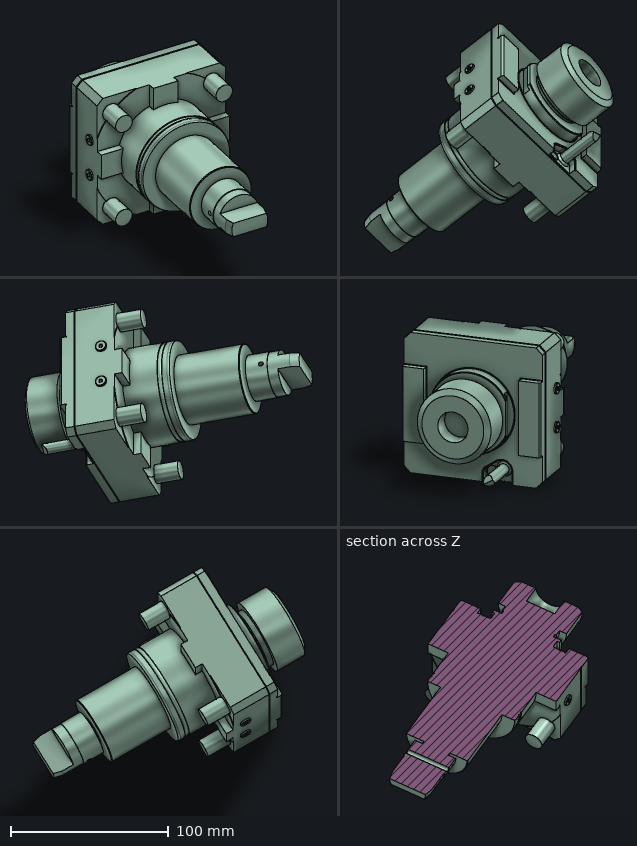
import cadquery as cq
import math


housing_side = 94.0
housing_front = -32.9
housing_corner_chamfer = 4.3
cover_joint_x = -26.9
cover_joint_groove = 0.4
seat_disc_radius = 50.5
seat_disc_height = 0.5

nut_front = -68.65
nut_radius = 25.0
nut_rear = -45.9
nut_chamfer_length = 2.4
nut_chamfer_height = 4.0
bore_radius = 10.2
bore_depth = 12.0
neck_radius = 20.0
neck_step_x = -42.1
neck_groove_radius = 19.0

collar_front = -40.1
collar_radius = 27.7
collar_chamfer = 0.5
collar_rim_thickness = 2.4
collar_rim_half_width = 24.8
collar_half_width = 23.0
collar_gap_radius = 28.4
collar_gap_depth = 0.5

flange_radius = 32.25
flange_length = 31.5
flange_chamfer_length = 1.5
flange_chamfer_height = 0.4
seal_start = 23.4
seal_width = 3.0
seal_depth = 0.6
shank_radius = 22.6
shank_end = 75.0
shank_chamfer = 0.5
drive_neck_radius = 9.6
drive_start = 76.6
drive_radius = 15.0
drive_step_x = 91.1
drive_end_radius = 14.6
tang_start = 97.9
tang_taper_start = 106.0
tang_end_radius = 13.2
tang_thickness = 10.3
overall_length = 180.66
tang_end = nut_front + overall_length
cross_hole_x = 87.0
cross_hole_diameter = 3.0

rear_key_width = 18.0
rear_key_height = 5.0

side_key_inner_y = 32.2
side_key_height = 3.8
side_key_length = 50.0
side_key_gap = 0.5
side_key_chamfer_x = 1.4
side_key_chamfer_y = 1.0

screw_radius = 6.1
screw_y = 36.7
screw_z = 35.0
screw_length = 15.9

button_x = -8.9
button_z = 13.0
button_radius = 3.6
button_height = 1.3
button_edge_chamfer = 0.3
button_hole_diameter = 2.4
button_hole_depth = 1.0

pin_y = -19.35
pin_z = -38.0
pin_radius = 3.6
pin_front = -57.2
pin_edge_angle = 30.0
pin_root_radius = 5.1
pocket_depth = 5.0
pocket_pin_radius = 6.6
pocket_plug_radius = 4.6
pocket_rim_step = 0.8
plug_y = -11.4
plug_z = -41.0
plug_radius = 3.9
plug_recess_depth = 0.5

half_side = housing_side / 2


def x_cylinder(radius, x_start, x_end, y=0.0, z=0.0):
    """Cylinder parallel to X between two X positions."""
    disc = cq.Workplane("YZ", origin=(x_start, y, z)).circle(radius)
    return disc.extrude(x_end - x_start)


def box_between(x_range, y_range, z_range):
    """Axis-aligned box from its three coordinate ranges."""
    size = [end - start for start, end in (x_range, y_range, z_range)]
    corner = (x_range[0], y_range[0], z_range[0])
    return cq.Workplane("XY").box(*size, centered=False).translate(corner)


def square_block(side, x_start, x_end):
    """Square prism along X with chamfered long edges."""
    square = cq.Workplane("YZ", origin=(x_start, 0, 0)).rect(side, side)
    return square.extrude(x_end - x_start).edges("|X").chamfer(housing_corner_chamfer)


def make_housing():
    block = square_block(housing_side, housing_front, 0)
    seat_relief = square_block(housing_side, -seat_disc_height, 0).cut(
        x_cylinder(seat_disc_radius, -seat_disc_height, 0)
    )
    groove_start = cover_joint_x - cover_joint_groove / 2
    groove_end = cover_joint_x + cover_joint_groove / 2
    joint_groove = square_block(housing_side, groove_start, groove_end).cut(
        square_block(housing_side - 2 * cover_joint_groove, groove_start, groove_end)
    )
    gap_floor = housing_front + collar_gap_depth
    collar_gap = x_cylinder(collar_gap_radius, housing_front, gap_floor).cut(
        x_cylinder(collar_radius, housing_front, gap_floor)
    )
    return block.cut(seat_relief).cut(joint_groove).cut(collar_gap)


def make_nut_and_neck():
    profile = (
        cq.Workplane("XY")
        .moveTo(nut_front, 0)
        .lineTo(nut_front, nut_radius - nut_chamfer_height)
        .lineTo(nut_front + nut_chamfer_length, nut_radius)
        .lineTo(nut_rear, nut_radius)
        .lineTo(nut_rear, neck_radius)
        .lineTo(neck_step_x, neck_radius)
        .lineTo(neck_step_x, neck_groove_radius)
        .lineTo(housing_front, neck_groove_radius)
        .lineTo(housing_front, 0)
        .close()
    )
    body = profile.revolve(360, (0, 0, 0), (1, 0, 0))
    return body.cut(x_cylinder(bore_radius, nut_front, nut_front + bore_depth))


def make_collar():
    rim_rear = collar_front + collar_rim_thickness
    collar = x_cylinder(collar_radius, collar_front, housing_front).faces("<X").chamfer(collar_chamfer)
    z_range = (-collar_radius, collar_radius)
    rim_limits = box_between(
        (collar_front, rim_rear), (-collar_rim_half_width, collar_rim_half_width), z_range
    )
    body_limits = box_between((rim_rear, housing_front), (-collar_half_width, collar_half_width), z_range)
    return collar.intersect(rim_limits.union(body_limits))


def make_rear_shaft():
    seal_end = seal_start + seal_width
    seal_edge_radius = flange_radius - seal_depth
    profile = (
        cq.Workplane("XY")
        .moveTo(-seat_disc_height, 0)
        .lineTo(-seat_disc_height, flange_radius)
        .lineTo(seal_start, flange_radius)
        .lineTo(seal_start, seal_edge_radius)
        .threePointArc((seal_start + seal_width / 2, flange_radius), (seal_end, seal_edge_radius))
        .lineTo(seal_end, flange_radius)
        .lineTo(flange_length - flange_chamfer_length, flange_radius)
        .lineTo(flange_length, flange_radius - flange_chamfer_height)
        .lineTo(flange_length, shank_radius)
        .lineTo(shank_end - shank_chamfer, shank_radius)
        .lineTo(shank_end, shank_radius - shank_chamfer)
        .lineTo(shank_end, drive_neck_radius)
        .lineTo(drive_start, drive_neck_radius)
        .lineTo(drive_start, drive_radius)
        .lineTo(drive_step_x, drive_radius)
        .lineTo(drive_step_x, drive_end_radius)
        .lineTo(tang_taper_start, drive_end_radius)
        .lineTo(tang_end, tang_end_radius)
        .lineTo(tang_end, 0)
        .close()
    )
    shaft = profile.revolve(360, (0, 0, 0), (1, 0, 0))
    for z_range in (
        (tang_thickness / 2, drive_radius),
        (-drive_radius, -tang_thickness / 2),
    ):
        shaft = shaft.cut(
            box_between((tang_start, tang_end), (-drive_radius, drive_radius), z_range)
        )
    cross_hole = (
        cq.Workplane("XZ", origin=(cross_hole_x, 0, 0))
        .circle(cross_hole_diameter / 2)
        .extrude(drive_radius, both=True)
    )
    return shaft.cut(cross_hole)


def make_rear_keys():
    x_range = (-seat_disc_height, rear_key_height)
    across = (-rear_key_width / 2, rear_key_width / 2)
    along = (-half_side, half_side)
    return box_between(x_range, across, along).union(box_between(x_range, along, across))


def make_side_key():
    key_front = housing_front - side_key_height
    outline = [
        (housing_front, side_key_inner_y),
        (key_front, side_key_inner_y),
        (key_front, half_side - side_key_chamfer_y),
        (key_front + side_key_chamfer_x, half_side),
        (housing_front, half_side),
    ]
    return cq.Workplane("XY").polyline(outline).close().extrude(side_key_length / 2, both=True)


def make_side_key_seat():
    """Shallow clearance groove in the housing face around the side key."""
    x_range = (housing_front, housing_front + side_key_gap)
    key_half_length = side_key_length / 2
    seat_half_length = key_half_length + side_key_gap
    seat = box_between(
        x_range, (side_key_inner_y - side_key_gap, half_side), (-seat_half_length, seat_half_length)
    )
    foot = box_between(x_range, (side_key_inner_y, half_side), (-key_half_length, key_half_length))
    return seat.cut(foot)


def make_buttons():
    """Pair of socketed buttons on the +Y side."""
    buttons = cq.Workplane("XY")
    for z in (-button_z, button_z):
        button = (
            cq.Workplane("XZ", origin=(button_x, half_side, z))
            .circle(button_radius)
            .extrude(-button_height)
            .faces(">Y")
            .chamfer(button_edge_chamfer)
            .faces(">Y")
            .workplane()
            .hole(button_hole_diameter, button_hole_depth)
        )
        buttons = buttons.add(button)
    return buttons.combine()


def pocket_section(x_start, depth, offset):
    """Pocket around pin and plug, open at the lower edge, enlarged by an offset."""
    x_end = x_start + depth
    pin_r = pocket_pin_radius + offset
    plug_r = pocket_plug_radius + offset
    span_y = plug_y - pin_y
    span_z = plug_z - pin_z
    distance = math.hypot(span_y, span_z)
    normal_angle = math.atan2(span_z, span_y) + math.acos((pin_r - plug_r) / distance)
    normal_y = math.cos(normal_angle)
    normal_z = math.sin(normal_angle)
    outline = [
        (pin_y - pin_r, -half_side),
        (pin_y - pin_r, pin_z),
        (pin_y, pin_z),
        (pin_y + pin_r * normal_y, pin_z + pin_r * normal_z),
        (plug_y + plug_r * normal_y, plug_z + plug_r * normal_z),
        (plug_y, plug_z),
        (plug_y + plug_r, plug_z),
        (plug_y + plug_r, -half_side),
    ]
    section = cq.Workplane("YZ", origin=(x_start, 0, 0)).polyline(outline).close().extrude(depth)
    section = section.union(x_cylinder(pin_r, x_start, x_end, pin_y, pin_z))
    return section.union(x_cylinder(plug_r, x_start, x_end, plug_y, plug_z))


def make_pocket():
    floor_x = housing_front + pocket_depth
    pocket = pocket_section(housing_front, pocket_depth, 0)
    pocket = pocket.union(pocket_section(housing_front, pocket_rim_step, pocket_rim_step))
    return pocket.union(x_cylinder(plug_radius, floor_x, floor_x + plug_recess_depth, plug_y, plug_z))


def make_pin():
    """Pin with a conical root and a 90 degree wedge tip."""
    floor_x = housing_front + pocket_depth
    root_height = pin_root_radius - pin_radius
    profile = (
        cq.Workplane("XY")
        .moveTo(pin_front, 0)
        .lineTo(pin_front, pin_radius)
        .lineTo(floor_x - root_height, pin_radius)
        .lineTo(floor_x, pin_root_radius)
        .lineTo(floor_x, 0)
        .close()
    )
    pin = profile.revolve(360, (0, 0, 0), (1, 0, 0))
    shoulder_x = pin_front + pin_root_radius
    wedge = [
        (pin_front, 0),
        (shoulder_x, pin_root_radius),
        (floor_x, pin_root_radius),
        (floor_x, -pin_root_radius),
        (shoulder_x, -pin_root_radius),
    ]
    limits = cq.Workplane("XZ").polyline(wedge).close().extrude(pin_root_radius, both=True)
    pin = pin.intersect(limits)
    pin = pin.rotate((0, 0, 0), (1, 0, 0), -pin_edge_angle)
    return pin.translate((0, pin_y, pin_z))


key_seat = make_side_key_seat()
result = make_housing().cut(make_pocket()).cut(key_seat).cut(key_seat.mirror("XZ"))
for feature in (make_nut_and_neck(), make_collar(), make_rear_shaft(), make_rear_keys(), make_pin()):
    result = result.union(feature)
for side_feature in (make_side_key(), make_buttons()):
    result = result.union(side_feature).union(side_feature.mirror("XZ"))
for y in (-screw_y, screw_y):
    for z in (-screw_z, screw_z):
        result = result.union(x_cylinder(screw_radius, -seat_disc_height, screw_length, y, z))